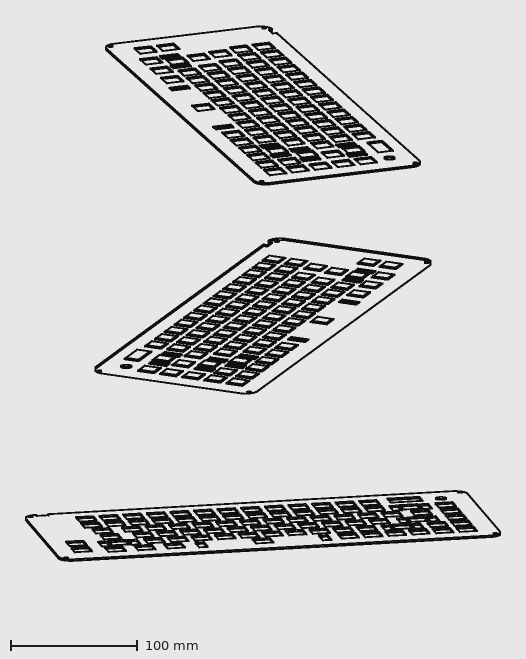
import cadquery as cq

plate_length = 356.5
plate_width = 139.0
plate_thickness = 1.5
corner_radius = 10.0

screw_diameter = 3.4
screw_inset = 5.0

grid_pitches = 15
grid_length = 286.0
pitch = grid_length / grid_pitches
key_gap = 5.0
key_size = pitch - key_gap
right_margin = 17.0
rear_margin = 13.5
first_column_x = plate_length / 2 - right_margin - key_size / 2 - grid_length
top_row_y = plate_width / 2 - rear_margin - key_size / 2

key_runs = [
    [(0, 13)],
    [(0, 13), (13.5, 1), (15, 1)],
    [(0.25, 1), (1.5, 12), (13.75, 1), (15, 1)],
    [(0.375, 1), (1.75, 11), (13.375, 1), (15, 1)],
    [(0.5, 1), (2, 10), (12.5, 1), (14, 2)],
    [(0.125, 1), (1.375, 1), (2.625, 1), (6.375, 1), (10, 6)],
]

side_key_column = -1.25
side_key_top_row = 3.75
side_key_rows = [side_key_top_row, side_key_top_row + 1]

stabilizer_width = 7.0
stabilizer_height = 15.0
stabilizer_drop = 1.5
wide_key_spread = 12.0
space_bar_spread = 50.0
wide_keys = [(13.5, 1), (13.375, 3), (0.5, 4), (12.5, 4)]
space_bar = (6.375, 5)

window_length = 25.5
window_height = 12.5
window_x = 126.0
window_y = 52.0
knob_x = 154.5
knob_y = 49.5
knob_diameter = 8.5

notch_left_x = -168.0
notch_length = 9.5
notch_depth = 3.2


def key_center(column, row):
    """Position of a key given in pitches from the top-left grid key."""
    return (first_column_x + column * pitch, top_row_y - row * pitch)


def cutter(centers, length, height):
    """Rectangular through-cutters at the given centers."""
    return cq.Workplane("XY").pushPoints(centers).rect(length, height).extrude(plate_thickness)


def key_centers():
    centers = [key_center(side_key_column, row) for row in side_key_rows]
    for row, runs in enumerate(key_runs):
        for first_column, count in runs:
            centers += [key_center(first_column + step, row) for step in range(count)]
    return centers


def stabilizer_centers(key, spread):
    x, y = key_center(*key)
    return [(x + side * spread, y - stabilizer_drop) for side in (-1, 1)]


plate = (
    cq.Workplane("XY")
    .rect(plate_length, plate_width)
    .extrude(plate_thickness)
    .edges("|Z")
    .fillet(corner_radius)
)

screw_holes = (
    cq.Workplane("XY")
    .rect(plate_length - 2 * screw_inset, plate_width - 2 * screw_inset, forConstruction=True)
    .vertices()
    .circle(screw_diameter / 2)
    .extrude(plate_thickness)
)
plate = plate.cut(screw_holes)

plate = plate.cut(cutter(key_centers(), key_size, key_size))

slot_centers = stabilizer_centers(space_bar, space_bar_spread)
for wide_key in wide_keys:
    slot_centers += stabilizer_centers(wide_key, wide_key_spread)
plate = plate.cut(cutter(slot_centers, stabilizer_width, stabilizer_height))

plate = plate.cut(cutter([(window_x, window_y)], window_length, window_height))

knob_hole = (
    cq.Workplane("XY")
    .pushPoints([(knob_x, knob_y)])
    .circle(knob_diameter / 2)
    .extrude(plate_thickness)
)
plate = plate.cut(knob_hole)

notch_center = (notch_left_x + notch_length / 2, plate_width / 2)
plate = plate.cut(cutter([notch_center], notch_length, 2 * notch_depth))

result = plate